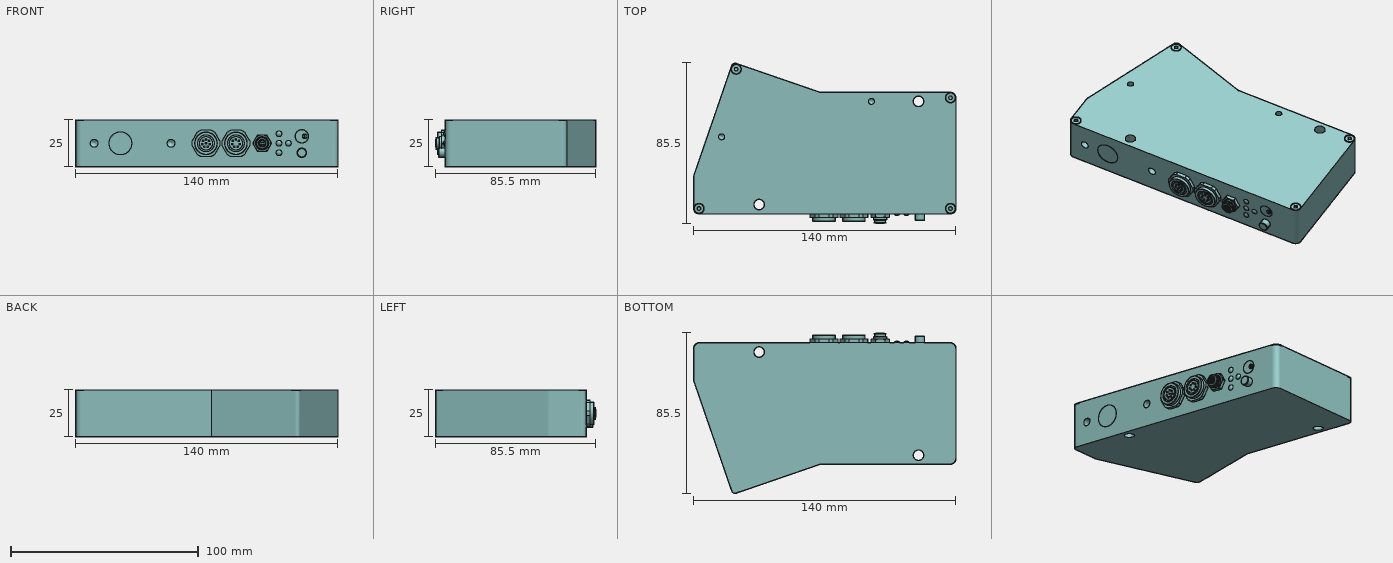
import cadquery as cq
import math

LENGTH = 140.0
DEPTH = 65.0
HEIGHT = 25.0
LID_THICKNESS = 2.1
LEFT_SIDE = 20.2
REAR_BEND_X = 67.5
SLANT = math.radians(19)
CORNER_RADIUS = 3.1
BEND_RADIUS = 4.0
APEX_RADIUS = 2.0

CASE_HEIGHT = HEIGHT - LID_THICKNESS
PANEL_MID_Z = HEIGHT / 2
DRILL_TIP_ANGLE = 118

SCREW_INSET = 3.0
SCREW_SEAT_DIAMETER = 5.5
SCREW_HEAD_DIAMETER = 5.0
SCREW_SEAT_DEPTH = 0.3
SCREW_SOCKET_DIAMETER = 2.0
SCREW_SOCKET_DEPTH = 0.7

MOUNTING_HOLES = [(35.0, 5.0), (120.0, 60.0)]
MOUNTING_HOLE_DIAMETER = 5.5
TAPPED_HOLES = [(15.0, 41.2), (94.9, 60.0)]
TAPPED_HOLE_DIAMETER = 3.2
TAPPED_HOLE_DEPTH = 8.4

PANEL_HOLES_X = [10.0, 51.0]
PANEL_HOLE_DIAMETER = 4.2
PANEL_HOLE_DEPTH = 8.4
BLANK_X = 24.0
BLANK_DIAMETER = 12.2
BLANK_DEPTH = 0.1

SOCKET_X = 69.6
PLUG_X = 85.5
NUT_FLATS = 14.0
NUT_CORNER_DIAMETER = 15.0
NUT_HEIGHT = 2.0
BARREL_DIAMETER = 12.0
BARREL_LENGTH = 3.9
BARREL_CHAMFER = 0.1
BORE_DIAMETER = 9.0
BORE_DEPTH = 1.0
INSERT_DIAMETER = 7.1
CONTACT_DIAMETER = 0.8
CONTACT_CIRCLE_DIAMETER = 4.0
CONTACT_COUNT = 7
CONTACT_DEPTH = 0.7

SMALL_X = 99.5
SMALL_NUT_FLATS = 8.7
SMALL_NUT_CHAMFER_DIAMETER = 9.0
THREAD_DIAMETER = 7.1
THREAD_END = 3.0
COLLAR_DIAMETER = 6.5
COLLAR_END = 3.4
NECK_DIAMETER = 5.9
NECK_END = 4.5
RIM_DIAMETER = 6.5
RIM_END = 4.8
TIP_DIAMETER = 4.2
TIP_END = 5.0
SMALL_BORE_DIAMETER = 3.1
SMALL_BORE_DEPTH = 0.8
SMALL_CONTACT_DIAMETER = 0.5
SMALL_CONTACT_SPACING = 1.1

LAMP_X = 108.5
LAMP_SPACING = 5.0
LAMP_DIAMETER = 3.1
LAMP_HEIGHT = 0.8
BUTTON_X = 120.7
BUTTON_Z = PANEL_MID_Z - LAMP_SPACING
BUTTON_DIAMETER = 5.0
BUTTON_LENGTH = 3.5
BUTTON_CHAMFER = 0.3
DIAL_X = BUTTON_X
DIAL_Z = 16.2
DIAL_POCKET_DIAMETER = 7.1
DIAL_DIAMETER = 7.0
DIAL_THICKNESS = 1.4
DIAL_SCREW_OFFSET = 1.5
DIAL_SCREW_DIAMETER = 2.5
DIAL_SCREW_DEPTH = 0.1
DIAL_SLOT_WIDTH = 0.5
DIAL_SLOT_DEPTH = 0.4

along_left = (math.sin(SLANT), math.cos(SLANT))
along_rear = (math.cos(SLANT), -math.sin(SLANT))
slant_length = REAR_BEND_X * along_left[0] + (DEPTH - LEFT_SIDE) * along_left[1]
APEX = (slant_length * along_left[0], LEFT_SIDE + slant_length * along_left[1])

SCREWS = [
    (SCREW_INSET, SCREW_INSET),
    (LENGTH - SCREW_INSET, SCREW_INSET),
    (LENGTH - SCREW_INSET, DEPTH - SCREW_INSET),
    (
        APEX[0] + SCREW_INSET * (along_rear[0] - along_left[0]),
        APEX[1] + SCREW_INSET * (along_rear[1] - along_left[1]),
    ),
]


def plate(bottom_z, thickness):
    """A plate with the outline of the box, its upright edges rounded."""
    outline = [(0, 0), (LENGTH, 0), (LENGTH, DEPTH), (REAR_BEND_X, DEPTH), APEX, (0, LEFT_SIDE)]
    roundings = [
        ((0, 0), CORNER_RADIUS),
        ((LENGTH, 0), CORNER_RADIUS),
        ((LENGTH, DEPTH), CORNER_RADIUS),
        (APEX, APEX_RADIUS),
        ((0, LEFT_SIDE), BEND_RADIUS),
    ]
    body = cq.Workplane("XY").workplane(offset=bottom_z).polyline(outline).close().extrude(thickness)
    for (x, y), radius in roundings:
        corner = cq.selectors.NearestToPointSelector((x, y, bottom_z + thickness / 2))
        body = body.edges("|Z").edges(corner).fillet(radius)
    return body


def box():
    """Case and lid in one piece; clean=False leaves the seam between them as an edge."""
    return plate(0, CASE_HEIGHT).union(plate(CASE_HEIGHT, LID_THICKNESS), clean=False)


def drill(diameter, depth):
    """A drilled hole along +Z from the origin, with a pointed end."""
    radius = diameter / 2
    tip = radius / math.tan(math.radians(DRILL_TIP_ANGLE / 2))
    profile = [(0, 0), (radius, 0), (radius, depth), (0, depth + tip)]
    return cq.Workplane("XZ").polyline(profile).close().revolve(360, (0, 0), (0, 1))


def drill_down(x, y, top_z, diameter, depth):
    return drill(diameter, depth).rotate((0, 0, 0), (1, 0, 0), 180).translate((x, y, top_z))


def drill_panel(x, z, diameter, depth):
    return drill(diameter, depth).rotate((0, 0, 0), (1, 0, 0), -90).translate((x, 0, z))


def panel_plane(x, z, out=0.0):
    """A workplane on the front panel that faces outward, 'out' in front of the panel."""
    return cq.Workplane("XZ", origin=(x, -out, z))


def panel_disc(x, z, diameter, start, end):
    """A round disc on the panel; distances are measured outward from the panel."""
    return panel_plane(x, z, start).circle(diameter / 2).extrude(end - start)


def screw_gaps():
    """Ring gaps between the lid and the flush heads of its screws."""
    rings = cq.Workplane("XY").workplane(offset=HEIGHT - SCREW_SEAT_DEPTH).pushPoints(SCREWS)
    rings = rings.circle(SCREW_SEAT_DIAMETER / 2).circle(SCREW_HEAD_DIAMETER / 2)
    return rings.extrude(SCREW_SEAT_DEPTH)


def mounting_holes():
    return cq.Workplane("XY").pushPoints(MOUNTING_HOLES).circle(MOUNTING_HOLE_DIAMETER / 2).extrude(HEIGHT)


def hex_nut(x, flats, height):
    corner_diameter = flats / math.cos(math.radians(30))
    return panel_plane(x, PANEL_MID_Z).polygon(6, corner_diameter).extrude(height)


def large_connector(x, has_centre_contact):
    """Nut with rounded corners, barrel with a ring recess, and contact holes in its insert."""
    nut = hex_nut(x, NUT_FLATS, NUT_HEIGHT)
    nut = nut.intersect(panel_disc(x, PANEL_MID_Z, NUT_CORNER_DIAMETER, 0, NUT_HEIGHT))
    barrel = panel_disc(x, PANEL_MID_Z, BARREL_DIAMETER, 0, BARREL_LENGTH)
    barrel = barrel.faces("<Y").chamfer(BARREL_CHAMFER)
    floor = BARREL_LENGTH - BORE_DEPTH
    ring = panel_plane(x, PANEL_MID_Z, floor).circle(BORE_DIAMETER / 2).circle(INSERT_DIAMETER / 2)
    connector = nut.union(barrel).cut(ring.extrude(BORE_DEPTH))
    contacts = panel_plane(x, PANEL_MID_Z, BARREL_LENGTH - CONTACT_DEPTH)
    contacts = contacts.polarArray(CONTACT_CIRCLE_DIAMETER / 2, 90, 360, CONTACT_COUNT)
    connector = connector.cut(contacts.circle(CONTACT_DIAMETER / 2).extrude(CONTACT_DEPTH))
    if has_centre_contact:
        start = BARREL_LENGTH - CONTACT_DEPTH
        connector = connector.cut(panel_disc(x, PANEL_MID_Z, CONTACT_DIAMETER, start, BARREL_LENGTH))
    return connector


def small_connector():
    """Chamfered nut, stepped round body and a bored tip with four contact pins."""
    corner_diameter = SMALL_NUT_FLATS / math.cos(math.radians(30))
    chamfer = (corner_diameter - SMALL_NUT_CHAMFER_DIAMETER) / 2
    blank = panel_disc(SMALL_X, PANEL_MID_Z, corner_diameter, 0, NUT_HEIGHT).faces("<Y").chamfer(chamfer)
    connector = hex_nut(SMALL_X, SMALL_NUT_FLATS, NUT_HEIGHT).intersect(blank)
    start = 0
    for diameter, end in (
        (THREAD_DIAMETER, THREAD_END),
        (COLLAR_DIAMETER, COLLAR_END),
        (NECK_DIAMETER, NECK_END),
        (RIM_DIAMETER, RIM_END),
        (TIP_DIAMETER, TIP_END),
    ):
        connector = connector.union(panel_disc(SMALL_X, PANEL_MID_Z, diameter, start, end))
        start = end
    floor = TIP_END - SMALL_BORE_DEPTH
    connector = connector.cut(panel_disc(SMALL_X, PANEL_MID_Z, SMALL_BORE_DIAMETER, floor, TIP_END))
    pins = panel_plane(SMALL_X, PANEL_MID_Z, floor)
    pins = pins.rarray(SMALL_CONTACT_SPACING, SMALL_CONTACT_SPACING, 2, 2)
    return connector.union(pins.circle(SMALL_CONTACT_DIAMETER / 2).extrude(SMALL_BORE_DEPTH))


def lamp(x, z):
    """A shallow dome."""
    radius = LAMP_DIAMETER / 2
    sphere_radius = (radius**2 + LAMP_HEIGHT**2) / (2 * LAMP_HEIGHT)
    half_angle = math.asin(radius / sphere_radius) / 2
    middle = (sphere_radius * math.sin(half_angle), LAMP_HEIGHT - sphere_radius * (1 - math.cos(half_angle)))
    profile = cq.Workplane("XY").lineTo(radius, 0).threePointArc(middle, (0, LAMP_HEIGHT)).close()
    dome = profile.revolve(360, (0, 0), (0, 1))
    return dome.rotate((0, 0, 0), (1, 0, 0), 180).translate((x, 0, z))


def button():
    body = panel_disc(BUTTON_X, BUTTON_Z, BUTTON_DIAMETER, 0, BUTTON_LENGTH)
    return body.faces("<Y").chamfer(BUTTON_CHAMFER)


def dial_pocket():
    return panel_disc(DIAL_X, DIAL_Z, DIAL_POCKET_DIAMETER, -DIAL_THICKNESS, 0)


def make_housing():
    """Box with its holes, screws, connectors, lamps and button."""
    cuts = mounting_holes().union(screw_gaps()).union(dial_pocket())
    cuts = cuts.union(panel_disc(BLANK_X, PANEL_MID_Z, BLANK_DIAMETER, -BLANK_DEPTH, 0))
    for x, y in SCREWS:
        cuts = cuts.union(drill_down(x, y, HEIGHT, SCREW_SOCKET_DIAMETER, SCREW_SOCKET_DEPTH))
    for x, y in TAPPED_HOLES:
        cuts = cuts.union(drill_down(x, y, HEIGHT, TAPPED_HOLE_DIAMETER, TAPPED_HOLE_DEPTH))
    for x in PANEL_HOLES_X:
        cuts = cuts.union(drill_panel(x, PANEL_MID_Z, PANEL_HOLE_DIAMETER, PANEL_HOLE_DEPTH))

    parts = [large_connector(SOCKET_X, True), large_connector(PLUG_X, False), small_connector(), button()]
    parts += [lamp(LAMP_X, PANEL_MID_Z + step * LAMP_SPACING) for step in (-1, 0, 1)]
    parts.append(lamp(LAMP_X + LAMP_SPACING, PANEL_MID_Z))

    housing = box().cut(cuts, clean=False)
    for part in parts:
        housing = housing.union(part, clean=False)
    return housing


def make_dial():
    """Disc set flush in its pocket, with a sunk, slotted adjusting screw off its centre."""
    dial = panel_disc(DIAL_X, DIAL_Z, DIAL_DIAMETER, -DIAL_THICKNESS, 0)
    screw_x = DIAL_X + DIAL_SCREW_OFFSET
    dial = dial.cut(panel_disc(screw_x, DIAL_Z, DIAL_SCREW_DIAMETER, -DIAL_SCREW_DEPTH, 0))
    slot = panel_plane(screw_x, DIAL_Z, -DIAL_SLOT_DEPTH).rect(DIAL_SLOT_WIDTH, DIAL_SCREW_DIAMETER)
    slot = slot.extrude(DIAL_SLOT_DEPTH)
    return dial.cut(slot.intersect(panel_disc(screw_x, DIAL_Z, DIAL_SCREW_DIAMETER, -DIAL_SLOT_DEPTH, 0)))


housing = make_housing()
dial = make_dial()
result = cq.Compound.makeCompound([housing.val(), dial.val()])